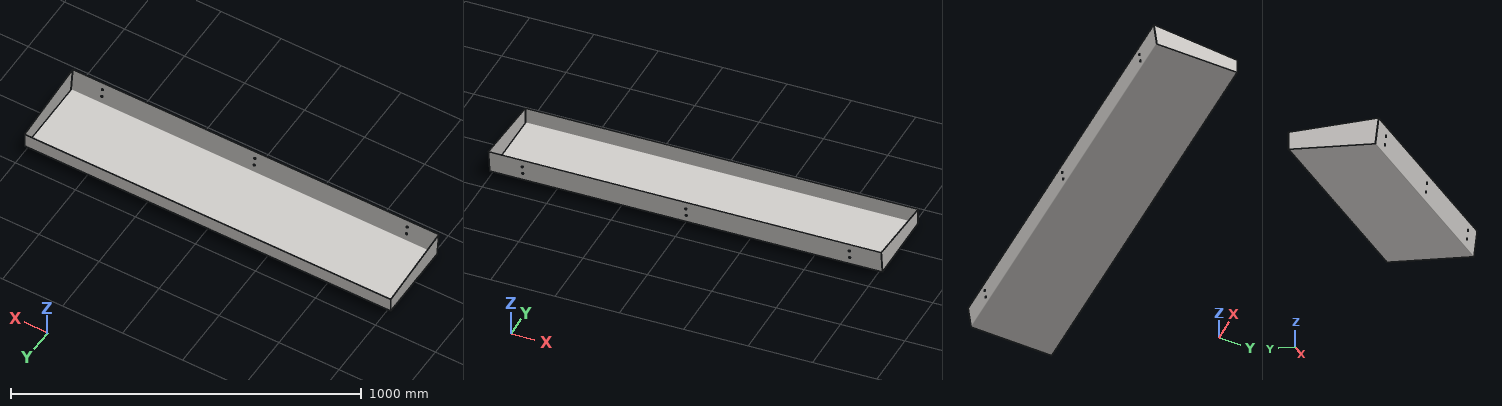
import cadquery as cq
import math

length = 1222.375
depth = 266.22
front_height = 76.2
back_height = 50.8
front_lean = 9.525

sheet = 1.519
inner_bend = 0.381
outer_bend = inner_bend + sheet

hole_diameter = 6.35
hole_columns = 3
hole_column_pitch = 508
hole_row_offset = 1.5875
hole_heights = (25.4, 50.8)

lean_rate = front_lean / front_height
lean_angle = math.atan(lean_rate)
rim_slope = (front_height - back_height) / depth
channel_length = length - 2 * outer_bend
margin = 1.0
edge_search = 0.1


def inset_profile(inset):
    """(Y, Z) corners of the side outline with front, floor and back moved inwards by inset.

    The order is front rim, front foot, back foot, back rim. The sloping rim stays in place.
    """
    front_run = inset / math.cos(lean_angle)
    rim_y = front_run / (1 - lean_rate * rim_slope)
    foot_y = front_lean - lean_rate * inset + front_run
    back_y = depth - inset
    return [
        (rim_y, front_height - rim_slope * rim_y),
        (foot_y, inset),
        (back_y, inset),
        (back_y, front_height - rim_slope * back_y),
    ]


def side_prism(points, prism_length):
    """Extrude a closed (Y, Z) outline along X, centred on the tray's middle."""
    return cq.Workplane("YZ").polyline(points).close().extrude(prism_length / 2, both=True)


def bent_prism(inset, bend_radius, prism_length):
    """Side prism whose front and back feet are rounded."""
    points = inset_profile(inset)
    prism = side_prism(points, prism_length)
    for y, z in points[1:3]:
        foot_edge = cq.selectors.BoxSelector(
            (-prism_length, y - edge_search, z - edge_search),
            (prism_length, y + edge_search, z + edge_search),
        )
        prism = prism.edges(foot_edge).fillet(bend_radius)
    return prism


def hole_cutter(x, z):
    """Cylinder square to the leaning front wall."""
    inward = cq.Vector(0, math.cos(lean_angle), math.sin(lean_angle))
    on_face = cq.Vector(x, front_lean - lean_rate * z, z)
    reach = sheet + margin
    cylinder = cq.Solid.makeCylinder(hole_diameter / 2, 2 * reach, on_face - inward * reach, inward)
    return cq.Workplane(cylinder)


def make_channel():
    """Floor, leaning front wall and upright back wall folded from one sheet."""
    outside = bent_prism(0, outer_bend, channel_length)
    inside = bent_prism(sheet, inner_bend, channel_length + 2 * margin)
    channel = outside.cut(inside)
    for column in range(hole_columns):
        x = hole_row_offset + (column - (hole_columns - 1) / 2) * hole_column_pitch
        for z in hole_heights:
            channel = channel.cut(hole_cutter(x, z))
    return channel


def make_end(side):
    """End wall with its bend down to the floor edge; side is -1 for the left end, +1 for the right."""
    outer_x = side * length / 2
    inner_x = side * (length / 2 - sheet)
    floor_edge_x = side * channel_length / 2
    diagonal = math.sqrt(0.5)

    def bend_middle(radius):
        return (floor_edge_x + side * radius * diagonal, outer_bend - radius * diagonal)

    bent_strip = (
        cq.Workplane("XZ")
        .moveTo(outer_x, front_height)
        .lineTo(outer_x, outer_bend)
        .threePointArc(bend_middle(outer_bend), (floor_edge_x, 0))
        .lineTo(floor_edge_x, sheet)
        .threePointArc(bend_middle(inner_bend), (inner_x, outer_bend))
        .lineTo(inner_x, front_height)
        .close()
        .extrude(-depth)
    )

    front_rim, front_foot, back_foot, back_rim = inset_profile(outer_bend)
    trim_outline = [front_rim, front_foot, (front_foot[0], 0), (back_foot[0], 0), back_rim]
    return bent_strip.intersect(side_prism(trim_outline, length + 2 * margin))


channel = make_channel()
ends = [make_end(side) for side in (-1, 1)]

result = cq.Compound.makeCompound([channel.val(), *[end.val() for end in ends]])